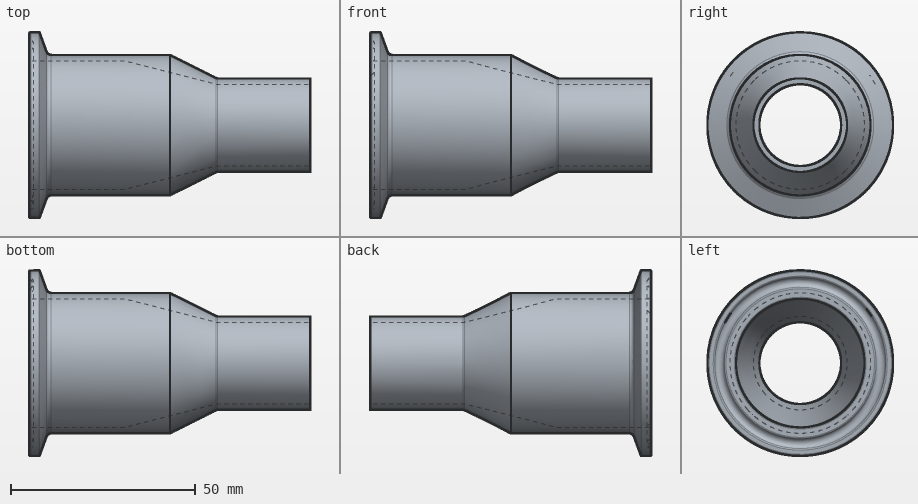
import cadquery as cq
import math

total_length = 76.2
large_tube_end = total_length / 2
small_tube_start = total_length * 2 / 3

large_outer_diameter = 38.1
large_bore_diameter = 34.8
small_outer_diameter = 25.4
small_bore_diameter = 22.1
flange_diameter = 50.4

rim_width = 2.8
back_face_angle = 20.0
front_edge_round = 0.45
back_edge_round = 0.2
neck_fillet = 1.3

groove_center_diameter = 43.75
groove_width = 2.75
groove_depth = 1.2
groove_edge_round = 0.45

bore_taper_start = 25.9
bore_taper_blend = 5.7
small_end_blend = 1.1

large_radius = large_outer_diameter / 2
large_bore_radius = large_bore_diameter / 2
small_radius = small_outer_diameter / 2
small_bore_radius = small_bore_diameter / 2
flange_radius = flange_diameter / 2
back_slope = math.tan(math.radians(back_face_angle))
neck_start = rim_width + (flange_radius - large_radius) * back_slope


def revolve_about_x(profile):
    """Turn a closed profile (X along the axis, Y as radius) into a solid."""
    return profile.close().revolve(360, (0, 0, 0), (1, 0, 0))


def make_outer_body():
    profile = (
        cq.Workplane("XY")
        .lineTo(0, flange_radius)
        .lineTo(rim_width, flange_radius)
        .lineTo(neck_start, large_radius)
        .lineTo(large_tube_end, large_radius)
        .lineTo(small_tube_start, small_radius)
        .lineTo(total_length, small_radius)
        .lineTo(total_length, 0)
    )
    return revolve_about_x(profile)


def make_bore():
    profile = (
        cq.Workplane("XY")
        .lineTo(0, large_bore_radius)
        .lineTo(bore_taper_start, large_bore_radius)
        .lineTo(small_tube_start, small_bore_radius)
        .lineTo(total_length, small_bore_radius)
        .lineTo(total_length, 0)
    )
    return revolve_about_x(profile)


def make_gasket_groove():
    center_radius = groove_center_diameter / 2
    profile = (
        cq.Workplane("XY")
        .moveTo(0, center_radius - groove_width / 2)
        .threePointArc((groove_depth, center_radius), (0, center_radius + groove_width / 2))
    )
    return revolve_about_x(profile)


def round_ring(body, x, ring_radius, fillet_radius):
    """Fillet the circular edge that lies at x and has the given radius."""
    tolerance = 0.01

    def is_ring(edge):
        return abs(edge.Center().x - x) < tolerance and abs(edge.radius() - ring_radius) < tolerance

    return body.edges("%CIRCLE").filter(is_ring).fillet(fillet_radius)


result = make_outer_body().cut(make_bore()).cut(make_gasket_groove())

result = round_ring(result, 0, flange_radius, front_edge_round)
result = round_ring(result, rim_width, flange_radius, back_edge_round)
result = round_ring(result, neck_start, large_radius, neck_fillet)
result = round_ring(result, 0, large_bore_radius, front_edge_round)
result = round_ring(result, bore_taper_start, large_bore_radius, bore_taper_blend)
result = round_ring(result, small_tube_start, small_radius, small_end_blend)
for side in (-1, 1):
    groove_edge_radius = (groove_center_diameter + side * groove_width) / 2
    result = round_ring(result, 0, groove_edge_radius, groove_edge_round)
result = cq.Workplane(obj=result.solids().val())